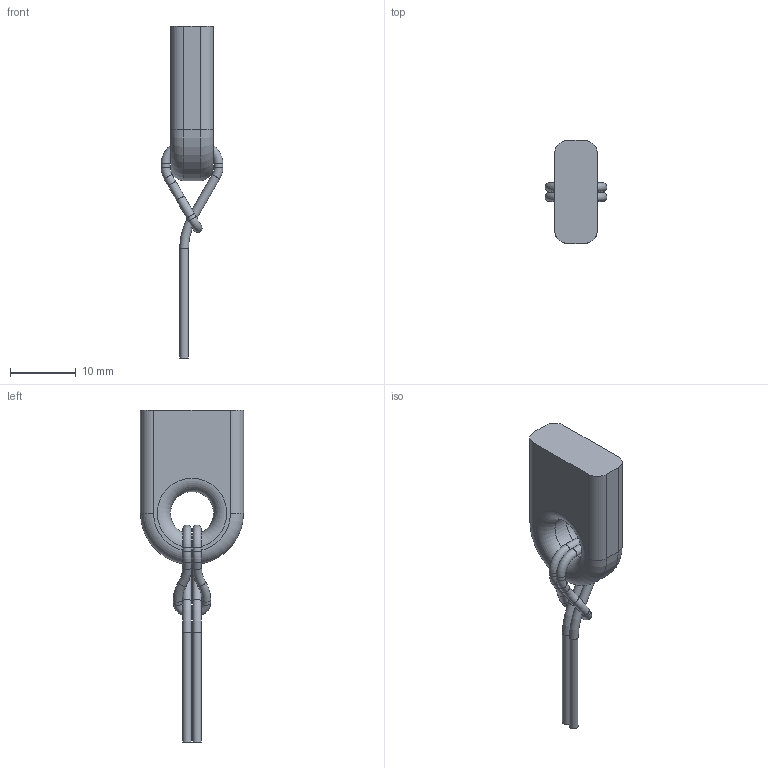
import cadquery as cq
import math


block_width = 15.74
block_thickness = 6.5
block_height = block_width
hole_radius = 3.3
edge_radius = 2.0
end_radius = block_width / 2

cord_diameter = 1.35
cord_span = 9.44
strand_y = 0.76
cord_length_z = 50.68
tail_x = -1.22
tail_bend_radius = 9.5
leg_angle = math.radians(60)
spread_start = 1.2
spread_end = 6.9
bight_straight = 0.55
bight_corner_radius = 1.6
bight_half_width = 2.17


def make_block():
    """Upright plate with a round lower end, a through hole and rounded edges."""
    block = (
        cq.Workplane("YZ")
        .moveTo(-end_radius, 0)
        .threePointArc((0, -end_radius), (end_radius, 0))
        .lineTo(end_radius, block_height)
        .lineTo(-end_radius, block_height)
        .close()
        .moveTo(0, 0)
        .circle(hole_radius)
        .extrude(block_thickness / 2, both=True)
    )
    top_edges = cq.selectors.BoxSelector(
        (-block_thickness, -block_width, block_height - edge_radius / 2),
        (block_thickness, block_width, block_height + edge_radius / 2),
    )
    rounded_edges = cq.selectors.InverseSelector(top_edges)
    return block.faces("<X or >X").edges(rounded_edges).fillet(edge_radius)


def cord_half_path():
    """Centre line of one strand: cord end, up the back leg, through the hole, down to mid-bight."""
    bend_x = block_thickness / 2 - edge_radius
    upper_bend_z = -(hole_radius + edge_radius)
    lower_bend_z = -(end_radius - edge_radius)
    side_x = (cord_span - cord_diameter) / 2
    bend_radius = side_x - bend_x
    over_z = upper_bend_z + bend_radius
    leg_x = bend_x + bend_radius * math.sin(leg_angle)
    leg_z = lower_bend_z - bend_radius * math.cos(leg_angle)

    slope_x = math.cos(leg_angle)
    slope_z = -math.sin(leg_angle)
    tail_corner_z = leg_z + (leg_x - tail_x) / slope_x * slope_z
    tail_tangent = tail_bend_radius * math.tan((math.pi / 2 - leg_angle) / 2)
    tail_top_z = tail_corner_z - tail_tangent
    tail_end_z = block_height - cord_length_z

    def strand(x, z):
        return cq.Vector(x, strand_y, z)

    def front_leg(along, y):
        return cq.Vector(-leg_x + along * slope_x, y, leg_z + along * slope_z)

    up = cq.Vector(0, 0, 1)
    left = cq.Vector(-1, 0, 0)
    leg_up = cq.Vector(slope_x, 0, -slope_z)
    leg_down = cq.Vector(slope_x, 0, slope_z)
    sideways = cq.Vector(0, 1, 0)

    spread_length = spread_end - spread_start
    spread_offset = bight_half_width - strand_y
    spread_angle = 2 * math.atan(spread_offset / spread_length)
    spread_slope = leg_down * math.cos(spread_angle) + sideways * math.sin(spread_angle)
    corner_start = spread_end + bight_straight
    bight_end = corner_start + bight_corner_radius

    tail_end = strand(tail_x, tail_end_z)
    tail_top = strand(tail_x, tail_top_z)
    back_leg_low = strand(tail_x + tail_tangent * slope_x, tail_corner_z - tail_tangent * slope_z)
    back_leg_top = strand(leg_x, leg_z)
    back_side_low = strand(side_x, lower_bend_z)
    back_side_top = strand(side_x, upper_bend_z)
    over_back = strand(bend_x, over_z)
    over_front = strand(-bend_x, over_z)
    front_side_top = strand(-side_x, upper_bend_z)
    front_side_low = strand(-side_x, lower_bend_z)
    front_leg_top = front_leg(0, strand_y)
    spread_top = front_leg(spread_start, strand_y)
    spread_middle = front_leg(spread_start + spread_length / 2, strand_y + spread_offset / 2)
    spread_low = front_leg(spread_end, bight_half_width)
    corner_top = front_leg(corner_start, bight_half_width)
    corner_low = front_leg(bight_end, bight_half_width - bight_corner_radius)
    bight_middle = front_leg(bight_end, 0)

    line = cq.Edge.makeLine
    arc = cq.Edge.makeTangentArc
    return cq.Wire.assembleEdges([
        line(tail_end, tail_top),
        arc(tail_top, up, back_leg_low),
        line(back_leg_low, back_leg_top),
        arc(back_leg_top, leg_up, back_side_low),
        line(back_side_low, back_side_top),
        arc(back_side_top, up, over_back),
        line(over_back, over_front),
        arc(over_front, left, front_side_top),
        line(front_side_top, front_side_low),
        arc(front_side_low, up * -1, front_leg_top),
        line(front_leg_top, spread_top),
        arc(spread_top, leg_down, spread_middle),
        arc(spread_middle, spread_slope, spread_low),
        line(spread_low, corner_top),
        arc(corner_top, leg_down, corner_low),
        line(corner_low, bight_middle),
    ])


def make_cord():
    """Round cord folded in two; its tails pass through its own bight below the block."""
    path = cord_half_path()
    half = (
        cq.Workplane(cq.Plane(origin=path.startPoint(), normal=(0, 0, 1)))
        .circle(cord_diameter / 2)
        .sweep(cq.Workplane(path))
    )
    return half.union(half.mirror("XZ"))


block = make_block()
cord = make_cord()
result = cq.Compound.makeCompound([*block.solids().vals(), *cord.solids().vals()])